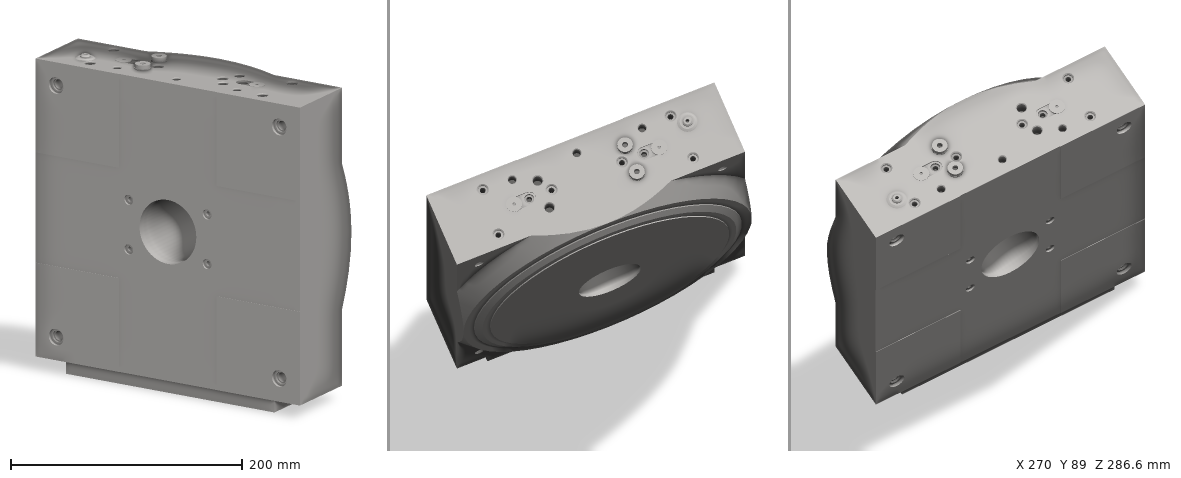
import cadquery as cq
body_width = 270.0
half_width = body_width / 2
body_depth = 69.0
shoulder_height = 15.0
bore_diameter = 58.0

cross_width = 100.0
relief_depth = 0.3

table_back = 89.0
table_radius = 125.5
table_chamfer_width = 6.5
table_chamfer_height = 3.0
table_face_radius = 112.0
table_face_height = 1.0
table_recess = 4.0

hub_diameter = 124.0
hub_hole_spacing_x = 80.0
hub_hole_spacing_z = 45.0
hub_hole_diameter = 4.13
hub_hole_depth = 8.0
hub_counterbore_diameter = 9.0
hub_counterbore_depth = 2.0

base_width = 213.0
base_height = 12.0
base_front = 4.0

mount_spacing = 228.0
mount_hole_diameter = 8.4
mount_neck_diameter = 10.5
mount_neck_depth = 5.0
mount_counterbore_diameter = 15.0
mount_counterbore_depth = 3.0

plug_diameter = 13.5
plug_collar_diameter = 14.0
plug_collar_height = 1.0
plug_height = 4.6
plug_hole_diameter = 5.0
plug_hole_depth = 4.0
port_diameter = 8.38
port_rim_diameter = 10.0
port_depth = 12.0
port_x = 41.0
port_ys = (24.6, 51.3)

thread_diameter = 8.57
thread_rim_diameter = 10.5
thread_depth = 2.0
pilot_diameter = 5.0
pilot_depth = 15.0
thread_places = [
    (side * x, y) for side in (-1, 1) for x, y in ((91.2, 57.0), (88.0, 14.0), (33.0, 36.8))
]

pin_hole_diameter = 6.92
pin_hole_rim_diameter = 8.4
pin_hole_depth = 10.0
pin_hole_places = [(-61.0, 14.8), (0.0, 14.2), (61.0, 15.4)]

slot_y = 36.8
slot_outer_x = 68.0
slot_inner_x = 53.8
slot_width = 12.0
slot_depth = 1.0
slot_disc_diameter = 14.0
slot_disc_rise = 0.3
slot_disc_hole_diameter = 2.8
slot_disc_hole_depth = 1.0
slot_screw_hole_diameter = 8.4
slot_screw_hole_depth = 3.0
slot_socket_diameter = 5.0
slot_socket_depth = 8.0

connector_place = (-99.5, 24.6)
connector_base_diameter = 18.0
connector_top_diameter = 13.5
connector_base_height = 1.0
connector_neck_diameter = 9.0
connector_height = 3.2
connector_neck_chamfer = 1.2
connector_hole_diameter = 3.24
connector_hole_depth = 5.0


def disc(diameter, y_start, y_end):
    """Round disc along the turning axis."""
    return cq.Workplane("XZ", origin=(0, y_start, 0)).circle(diameter / 2).extrude(y_start - y_end)


def turned(points):
    """Body turned about the Y axis from (radius, y) points."""
    return cq.Workplane("XY").polyline(points).close().revolve(360, (0, 0, 0), (0, 1, 0))


def top_cylinder(place, diameter, z_start, height):
    """Upright cylinder at an (X, Y) place; a negative height goes down."""
    return cq.Workplane("XY", origin=(*place, z_start)).circle(diameter / 2).extrude(height)


def top_cone(place, lower_diameter, upper_diameter, z_start, height):
    """Upright cone frustum at an (X, Y) place."""
    cone = cq.Solid.makeCone(
        lower_diameter / 2, upper_diameter / 2, height, cq.Vector(*place, z_start), cq.Vector(0, 0, 1)
    )
    return cq.Workplane(cone)


def chamfered_hole(place, diameter, rim_diameter, depth):
    """Cutter for a blind hole in the top face with a 45 degree rim."""
    rim_depth = (rim_diameter - diameter) / 2
    rim = top_cone(place, diameter, rim_diameter, half_width - rim_depth, rim_depth)
    return top_cylinder(place, diameter, half_width, -depth).union(rim)


def make_block():
    """Square block with the turned shoulder and the cross-shaped relief."""
    block = cq.Workplane("XY").box(
        body_width, body_depth + shoulder_height, body_width, centered=(True, False, True)
    )
    shoulder_back = body_depth + shoulder_height
    envelope_radius = body_width
    shoulder_radius = half_width + shoulder_height
    turned_away = turned([
        (half_width, shoulder_back),
        (shoulder_radius, body_depth),
        (envelope_radius, body_depth),
        (envelope_radius, shoulder_back),
    ])
    block = block.cut(turned_away)
    for size_x, size_z in ((body_width, cross_width), (cross_width, body_width)):
        bar = cq.Workplane("XY").box(size_x, relief_depth, size_z, centered=(True, False, True))
        block = block.cut(bar)
    return block


def cut_mount_holes(body):
    """Four stepped through holes in the corners."""
    steps = (
        (mount_hole_diameter, body_depth),
        (mount_neck_diameter, mount_neck_depth),
        (mount_counterbore_diameter, mount_counterbore_depth),
    )
    for diameter, depth in steps:
        holes = (
            cq.Workplane("XZ")
            .rect(mount_spacing, mount_spacing, forConstruction=True)
            .vertices()
            .circle(diameter / 2)
            .extrude(-depth)
        )
        body = body.cut(holes)
    return body


def cut_top_holes(body):
    """Open ports, threaded holes and pin holes of the top face."""
    for y in port_ys:
        body = body.cut(chamfered_hole((port_x, y), port_diameter, port_rim_diameter, port_depth))
    for place in thread_places:
        body = body.cut(chamfered_hole(place, thread_diameter, thread_rim_diameter, thread_depth))
        body = body.cut(top_cylinder(place, pilot_diameter, half_width, -pilot_depth))
    for place in pin_hole_places:
        body = body.cut(
            chamfered_hole(place, pin_hole_diameter, pin_hole_rim_diameter, pin_hole_depth)
        )
    return body


def add_slot(body, side):
    """Shallow slot with a slightly raised disc at its outer end and a screw hole at its inner end."""
    disc_place = (side * slot_outer_x, slot_y)
    screw_place = (side * slot_inner_x, slot_y)
    slot_length = slot_outer_x - slot_inner_x + slot_width
    slot_middle = side * (slot_outer_x + slot_inner_x) / 2
    slot = (
        cq.Workplane("XY", origin=(slot_middle, slot_y, half_width))
        .slot2D(slot_length, slot_width)
        .extrude(-slot_depth)
    )
    body = body.cut(slot)
    disc_top = half_width + slot_disc_rise
    body = body.union(
        top_cylinder(disc_place, slot_disc_diameter, half_width - slot_depth, slot_depth + slot_disc_rise)
    )
    body = body.cut(top_cylinder(disc_place, slot_disc_hole_diameter, disc_top, -slot_disc_hole_depth))
    body = body.cut(top_cylinder(screw_place, slot_screw_hole_diameter, half_width, -slot_screw_hole_depth))
    return body.cut(top_cylinder(screw_place, slot_socket_diameter, half_width, -slot_socket_depth))


def add_plugs(body):
    """Raised round port plugs with a collar at the foot and a blind socket."""
    for y in port_ys:
        place = (-port_x, y)
        body = body.union(top_cylinder(place, plug_collar_diameter, half_width, plug_collar_height))
        body = body.union(top_cylinder(place, plug_diameter, half_width, plug_height))
        body = body.cut(
            top_cylinder(place, plug_hole_diameter, half_width + plug_height, -plug_hole_depth)
        )
    return body


def add_connector(body):
    """Round cable connector: conical collar, neck and contact hole."""
    collar = top_cone(
        connector_place, connector_base_diameter, connector_top_diameter, half_width, connector_base_height
    )
    neck = top_cylinder(connector_place, connector_neck_diameter, half_width, connector_height)
    neck = neck.faces(">Z").chamfer(connector_neck_chamfer)
    hole = top_cylinder(
        connector_place, connector_hole_diameter, half_width + connector_height, -connector_hole_depth
    )
    return body.union(collar).union(neck).cut(hole)


table_front = body_depth + shoulder_height - table_recess
housing = make_block()
housing = housing.cut(disc(hub_diameter, 0, table_back))
housing = housing.cut(disc(2 * table_radius, table_front, table_back))
housing = cut_mount_holes(housing)
housing = cut_top_holes(housing)
for side in (-1, 1):
    housing = add_slot(housing, side)
housing = add_plugs(housing)
housing = add_connector(housing)

rim_back = table_back - table_face_height
table = turned([
    (hub_diameter / 2, table_front),
    (table_radius, table_front),
    (table_radius, rim_back - table_chamfer_height),
    (table_radius - table_chamfer_width, rim_back),
    (table_face_radius, rim_back),
    (table_face_radius, table_back),
    (hub_diameter / 2, table_back),
])

hub = disc(hub_diameter, relief_depth, table_back)
hub = hub.cut(disc(bore_diameter, relief_depth, table_back))
for diameter, depth in (
    (hub_hole_diameter, hub_hole_depth),
    (hub_counterbore_diameter, hub_counterbore_depth),
):
    holes = (
        cq.Workplane("XZ", origin=(0, relief_depth, 0))
        .rect(hub_hole_spacing_x, hub_hole_spacing_z, forConstruction=True)
        .vertices()
        .circle(diameter / 2)
        .extrude(-depth)
    )
    hub = hub.cut(holes)

base = cq.Workplane("XY", origin=(0, base_front, -half_width - base_height)).box(
    base_width, body_depth - base_front, base_height, centered=(True, False, False)
)

result = cq.Compound.makeCompound([housing.val(), table.val(), hub.val(), base.val()])